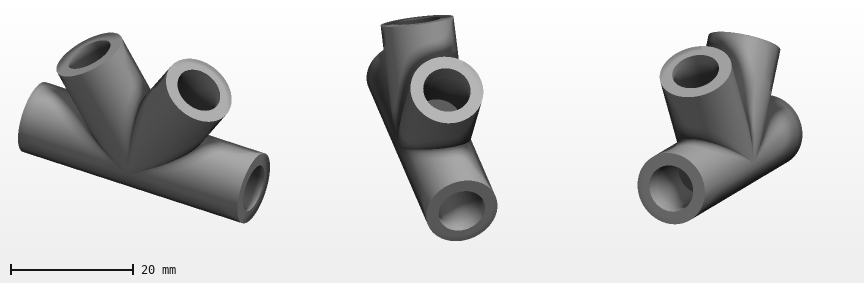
import cadquery as cq

arm_length = 20.0
outer_diameter = 12.0
socket_diameter = 7.8
socket_depth = 12.0
branch_tilt = 30.0
run_tilt = 90.0
arm_tilts = (-run_tilt, -branch_tilt, branch_tilt, run_tilt)


def tilted_cylinder(diameter, start, length, tilt):
    """Cylinder beginning at a distance from the centre, tilted from +Z towards +X."""
    upright = cq.Workplane("XY").workplane(offset=start).circle(diameter / 2).extrude(length)
    return upright.rotate((0, 0, 0), (0, 1, 0), tilt)


body = tilted_cylinder(outer_diameter, -arm_length, 2 * arm_length, run_tilt)

for tilt in (-branch_tilt, branch_tilt):
    body = body.union(tilted_cylinder(outer_diameter, 0, arm_length, tilt))

for tilt in arm_tilts:
    body = body.cut(tilted_cylinder(socket_diameter, arm_length - socket_depth, socket_depth, tilt))

result = body